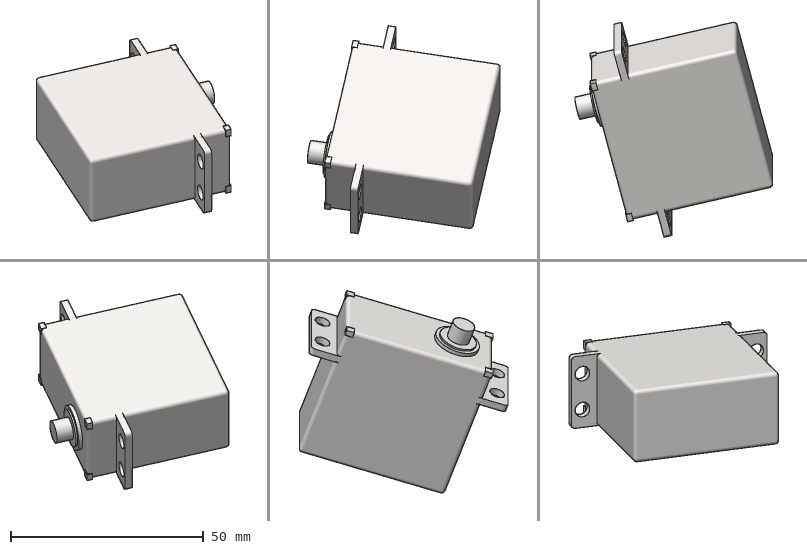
import cadquery as cq


case_width = 40.0
case_depth = 39.0
case_height = 20.0
edge_radius = 1.0

ear_span = 54.0
ear_thickness = 2.0
ear_front_y = 29.0
ear_corner_radius = 1.0
hole_diameter = 4.0
hole_to_ear_end = 3.0
hole_spacing = 10.0

shaft_to_case_side = 10.0
shaft_diameter = 6.0
shaft_tip_y = 45.0
lower_collar_diameter = 12.0
lower_collar_height = 1.0
upper_collar_diameter = 10.0
upper_collar_height = 0.5

block_side = 2.1
block_depth = 1.5
block_overhang = 0.095


def case():
    box = cq.Workplane("XY").box(case_width, case_depth, case_height, centered=(True, False, True))
    return box.edges().fillet(edge_radius)


def ear_plate():
    hole_x_spacing = ear_span - 2 * hole_to_ear_end
    plate = (
        cq.Workplane("XY")
        .box(ear_span, ear_thickness, case_height, centered=(True, False, True))
        .edges("|Y")
        .fillet(ear_corner_radius)
    )
    holes = (
        cq.Workplane("XZ")
        .rarray(hole_x_spacing, hole_spacing, 2, 2)
        .circle(hole_diameter / 2)
        .extrude(-ear_thickness)
    )
    return plate.cut(holes).translate((0, ear_front_y, 0))


def shaft_step(diameter, end_y):
    """Cylinder along +Y on the shaft axis, from inside the case to end_y."""
    start_y = case_depth - edge_radius
    shaft_x = shaft_to_case_side - case_width / 2
    return (
        cq.Workplane("XZ", origin=(shaft_x, start_y, 0))
        .circle(diameter / 2)
        .extrude(start_y - end_y)
    )


def output_shaft():
    lower_collar_y = case_depth + lower_collar_height
    upper_collar_y = lower_collar_y + upper_collar_height
    return (
        shaft_step(lower_collar_diameter, lower_collar_y)
        .union(shaft_step(upper_collar_diameter, upper_collar_y))
        .union(shaft_step(shaft_diameter, shaft_tip_y))
    )


def corner_blocks():
    x_spacing = case_width + 2 * block_overhang - block_side
    z_spacing = case_height + 2 * block_overhang - block_side
    back_y = case_depth + block_overhang
    return (
        cq.Workplane("XZ", origin=(0, back_y, 0))
        .rarray(x_spacing, z_spacing, 2, 2)
        .rect(block_side, block_side)
        .extrude(block_depth)
    )


result = case().union(ear_plate()).union(output_shaft()).union(corner_blocks())